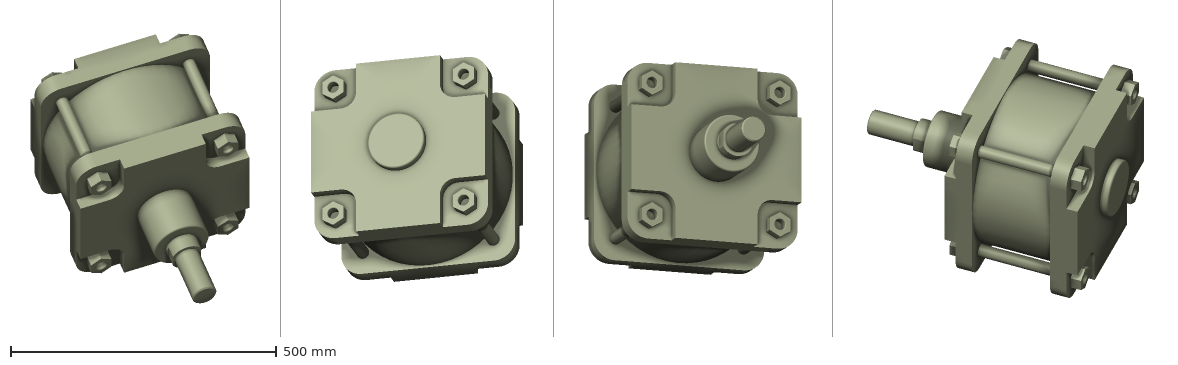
import cadquery as cq
import math

total_length = 502.0

cover_side = 340.0
cover_thickness = 55.5
cover_corner_radius = 40.5
pocket_side = 88.0
pocket_depth = 22.5
pocket_fillet = 30.0
boss_diameter = 110.5
rear_boss_length = 16.0
front_boss_length = 90.5
boss_edge_fillet = 3.5

barrel_diameter = 331.5
barrel_length = 158.5

tie_rod_diameter = 24.0
tie_rod_offset = 127.5
nut_across_flats = 41.0
nut_height = 21.0
nut_hole_diameter = 21.0
nut_hole_chamfer = 1.0

collar_diameter = 63.5
collar_length = 6.5
flats_across = 56.0
flats_length = 23.0
thread_diameter = 48.0
thread_end_chamfer = 2.5
neck_diameter = 47.0
neck_length = 5.0
neck_taper_length = 1.5

rear_cover_outer_x = rear_boss_length
rear_cover_inner_x = rear_cover_outer_x + cover_thickness
front_cover_inner_x = rear_cover_inner_x + barrel_length
front_cover_outer_x = front_cover_inner_x + cover_thickness
front_boss_end_x = front_cover_outer_x + front_boss_length
rear_pocket_floor_x = rear_cover_outer_x + pocket_depth
front_pocket_floor_x = front_cover_outer_x - pocket_depth

tie_rod_places = [
    (side_y * tie_rod_offset, side_z * tie_rod_offset)
    for side_y in (-1, 1)
    for side_z in (-1, 1)
]


def section_at(x):
    """Workplane across the axis at x, with local X along +Y and local Y along +Z."""
    return cq.Workplane("YZ", origin=(x, 0, 0))


def make_cover(inner_x, outer_x, pocket_floor_x, boss_end_x):
    """Square cover with four corner pockets, tie rod holes and a round boss on its outer face."""
    cover = (
        section_at(inner_x)
        .rect(cover_side, cover_side)
        .extrude(outer_x - inner_x)
        .edges("|X")
        .fillet(cover_corner_radius)
    )

    pocket_block_side = 2 * pocket_side
    pocket_corners = section_at(pocket_floor_x).rect(cover_side, cover_side, forConstruction=True).vertices()
    pockets = (
        pocket_corners
        .rect(pocket_block_side, pocket_block_side)
        .extrude(outer_x - pocket_floor_x)
        .edges("|X")
        .fillet(pocket_fillet)
    )
    rod_holes = (
        section_at(inner_x)
        .pushPoints(tie_rod_places)
        .circle(tie_rod_diameter / 2)
        .extrude(outer_x - inner_x)
    )
    cover = cover.cut(pockets).cut(rod_holes)

    boss_free_end = "<X" if boss_end_x < outer_x else ">X"
    boss = (
        section_at(outer_x)
        .circle(boss_diameter / 2)
        .extrude(boss_end_x - outer_x)
        .faces(boss_free_end)
        .edges()
        .fillet(boss_edge_fillet)
    )
    return cover.union(boss)


def make_barrel():
    """Round barrel clamped between the two covers."""
    return section_at(rear_cover_inner_x).circle(barrel_diameter / 2).extrude(barrel_length)


def make_nut(seat_x, direction):
    """Hexagon nut on a pocket floor, pointing along +X (1) or -X (-1), with a chamfered hole."""
    free_end = ">X" if direction > 0 else "<X"
    return (
        section_at(seat_x)
        .transformed(rotate=(0, 0, 90))
        .polygon(6, nut_across_flats / math.cos(math.pi / 6))
        .circle(nut_hole_diameter / 2)
        .extrude(direction * nut_height)
        .faces(free_end)
        .edges("%CIRCLE")
        .chamfer(nut_hole_chamfer)
    )


def make_tie_rod(y, z):
    """Tie rod running between the pocket floors, in one piece with the nut at each end."""
    rod_length = front_pocket_floor_x - rear_pocket_floor_x
    rod = section_at(rear_pocket_floor_x).circle(tie_rod_diameter / 2).extrude(rod_length)
    rear_nut = make_nut(rear_pocket_floor_x, -1)
    front_nut = make_nut(front_pocket_floor_x, 1)
    return rod.union(rear_nut).union(front_nut).translate((0, y, z))


def make_piston_rod():
    """Rod end on the front boss: round collar, wrench flats, tapered neck and thread."""
    flats_start_x = front_boss_end_x + collar_length
    flats_end_x = flats_start_x + flats_length
    neck_end_x = flats_end_x + neck_length

    collar = section_at(front_boss_end_x).circle(collar_diameter / 2).extrude(collar_length)
    flats = (
        section_at(flats_start_x)
        .circle(collar_diameter / 2)
        .extrude(flats_length)
        .intersect(section_at(flats_start_x).rect(flats_across, collar_diameter).extrude(flats_length))
    )
    thread_profile = [
        (flats_end_x, 0),
        (flats_end_x, thread_diameter / 2),
        (flats_end_x + neck_taper_length, neck_diameter / 2),
        (neck_end_x - neck_taper_length, neck_diameter / 2),
        (neck_end_x, thread_diameter / 2),
        (total_length - thread_end_chamfer, thread_diameter / 2),
        (total_length, thread_diameter / 2 - thread_end_chamfer),
        (total_length, 0),
    ]
    thread = cq.Workplane("XY").polyline(thread_profile).close().revolve(360, (0, 0, 0), (1, 0, 0))
    return collar.union(flats).union(thread)


rear_cover = make_cover(rear_cover_inner_x, rear_cover_outer_x, rear_pocket_floor_x, 0)
front_cover = make_cover(front_cover_inner_x, front_cover_outer_x, front_pocket_floor_x, front_boss_end_x)
barrel = make_barrel()
tie_rods = [make_tie_rod(y, z) for y, z in tie_rod_places]
piston_rod = make_piston_rod()

result = cq.Compound.makeCompound(
    [
        rear_cover.val(),
        front_cover.val(),
        barrel.val(),
        *[tie_rod.val() for tie_rod in tie_rods],
        piston_rod.val(),
    ]
)